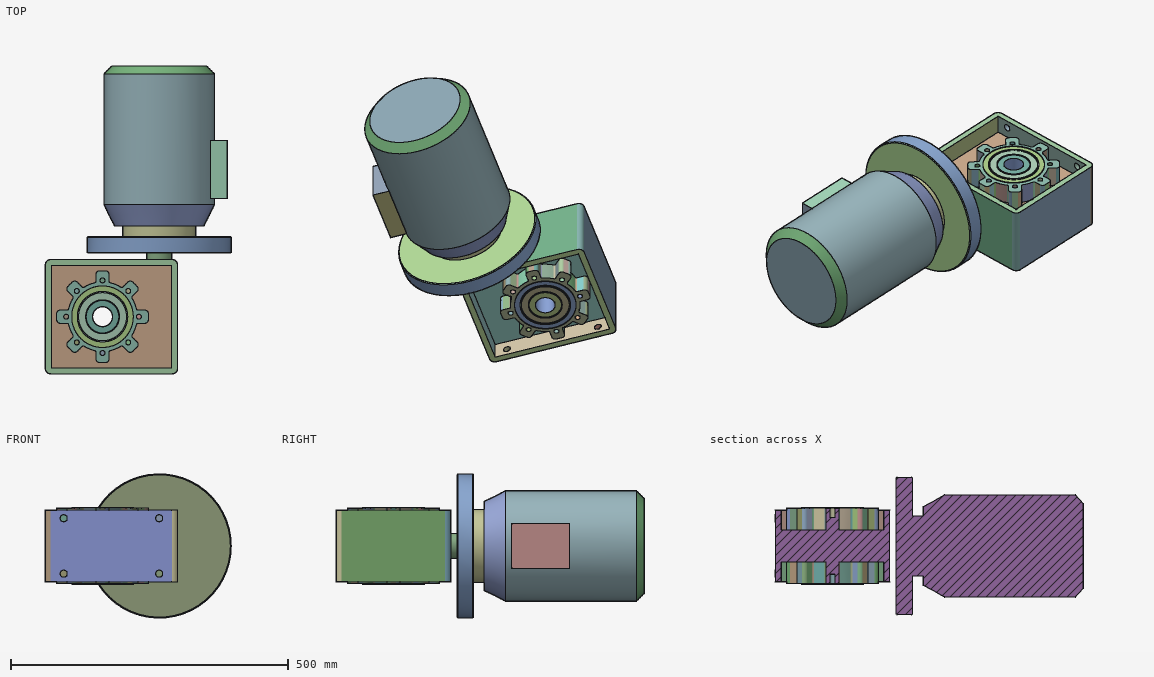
import cadquery as cq
import math

housing_width = 238.5
housing_length = 206.5
housing_height = 129.5
housing_corner_radius = 10.0
wall = 11.0
pocket_depth = 35.5

mount_hole_diameter = 13.0
mount_hole_spacing_x = 172.0
mount_hole_spacing_z = 100.0
mount_hole_depth = wall

hub_x = 103.0
hub_y = housing_length / 2
hub_height = 136.0
hub_radius = 62.5
arm_count = 8
arm_reach = 82.5
arm_width = 24.0
arm_tip_radius = 6.5
arm_root_radius = 3.0
bolt_circle_radius = 65.5
bolt_hole_diameter = 9.0
bolt_hole_depth = 16.5

ring_radius = 55.5
ring_height = 139.0
seal_groove_radius = 45.5
seal_groove_width = 2.0
shaft_groove_radius = 30.5
shaft_groove_width = 1.0
groove_depth = 1.5
bore_radius = 18.0

flange_radius = 130.0
overall_width = 335.0
motor_x = overall_width - flange_radius
motor_end_y = 555.0
motor_radius = 100.0
motor_chamfer = 14.5
cone_start_y = 266.5
cone_start_radius = 80.5
cone_end_y = 305.0
neck_radius = 66.0
flange_start_y = 217.5
flange_thickness = 30.0
flange_chamfer = 1.5
input_shaft_radius = 23.0

terminal_start_x = 297.5
terminal_end_x = 328.0
terminal_start_y = 316.0
terminal_end_y = 420.5
terminal_height = 81.0


def centred_plate(height):
    """Workplane on the hub axis from which a symmetric body of this height is extruded."""
    return cq.Workplane("XY", origin=(hub_x, hub_y, -height / 2))


def make_housing():
    center = (housing_width / 2, housing_length / 2, 0)
    housing = (
        cq.Workplane("XY", origin=center)
        .box(housing_width, housing_length, housing_height)
        .edges("|Z")
        .fillet(housing_corner_radius)
    )
    pocket_offset = (housing_height - pocket_depth) / 2
    for side in (-1, 1):
        pocket = cq.Workplane("XY", origin=center).box(
            housing_width - 2 * wall, housing_length - 2 * wall, pocket_depth
        )
        housing = housing.cut(pocket.translate((0, 0, side * pocket_offset)))
    mount_holes = (
        cq.Workplane("XZ", origin=(housing_width / 2, 0, 0))
        .rarray(mount_hole_spacing_x, mount_hole_spacing_z, 2, 2)
        .circle(mount_hole_diameter / 2)
        .extrude(-mount_hole_depth)
    )
    return housing.cut(mount_holes)


def make_hub():
    star = centred_plate(hub_height).circle(hub_radius).extrude(hub_height)
    for index in range(arm_count):
        arm = (
            cq.Workplane("XY", origin=(arm_reach / 2, 0, 0))
            .box(arm_reach, arm_width, hub_height)
            .edges("|Z and >X")
            .fillet(arm_tip_radius)
            .rotate((0, 0, 0), (0, 0, 1), index * 360 / arm_count)
            .translate((hub_x, hub_y, 0))
        )
        star = star.union(arm)
    root_x = math.sqrt(hub_radius**2 - (arm_width / 2) ** 2)
    root_angle = math.degrees(math.atan2(arm_width / 2, root_x))
    for index in range(arm_count):
        for side in (-1, 1):
            angle = math.radians(index * 360 / arm_count + side * root_angle)
            root = (hub_x + hub_radius * math.cos(angle), hub_y + hub_radius * math.sin(angle), 0)
            star = star.edges(cq.selectors.NearestToPointSelector(root)).fillet(arm_root_radius)
    ring = centred_plate(ring_height).circle(ring_radius).extrude(ring_height)
    return star.union(ring)


def make_groove(outer_radius, width):
    """Ring-shaped cutter for a groove in the upper end of the centring ring."""
    return (
        cq.Workplane("XY", origin=(hub_x, hub_y, ring_height / 2 - groove_depth))
        .circle(outer_radius)
        .circle(outer_radius - width)
        .extrude(groove_depth)
    )


def cut_hub_faces(body):
    """Cut the grooves and the bolt holes into both faces of the hub."""
    seal_groove = make_groove(seal_groove_radius, seal_groove_width)
    shaft_groove = make_groove(shaft_groove_radius, shaft_groove_width)
    bolt_holes = (
        cq.Workplane("XY", origin=(hub_x, hub_y, hub_height / 2 - bolt_hole_depth))
        .polarArray(bolt_circle_radius, 0, 360, arm_count)
        .circle(bolt_hole_diameter / 2)
        .extrude(bolt_hole_depth)
    )
    for cutter in (seal_groove, shaft_groove, bolt_holes):
        body = body.cut(cutter).cut(cutter.mirror("XY"))
    return body


def make_motor():
    flange_end_y = flange_start_y + flange_thickness
    flange_face_radius = flange_radius - flange_chamfer
    shaft_start_y = housing_length - wall
    profile = [
        (0, shaft_start_y),
        (input_shaft_radius, shaft_start_y),
        (input_shaft_radius, flange_start_y),
        (flange_face_radius, flange_start_y),
        (flange_radius, flange_start_y + flange_chamfer),
        (flange_radius, flange_end_y - flange_chamfer),
        (flange_face_radius, flange_end_y),
        (neck_radius, flange_end_y),
        (neck_radius, cone_start_y),
        (cone_start_radius, cone_start_y),
        (motor_radius, cone_end_y),
        (motor_radius, motor_end_y - motor_chamfer),
        (motor_radius - motor_chamfer, motor_end_y),
        (0, motor_end_y),
    ]
    turned = cq.Workplane("XY").polyline(profile).close().revolve(360, (0, 0, 0), (0, 1, 0))
    return turned.translate((motor_x, 0, 0))


def make_terminal_box():
    middle = ((terminal_start_x + terminal_end_x) / 2, (terminal_start_y + terminal_end_y) / 2, 0)
    return cq.Workplane("XY", origin=middle).box(
        terminal_end_x - terminal_start_x,
        terminal_end_y - terminal_start_y,
        terminal_height,
    )


gearbox = cut_hub_faces(make_housing().union(make_hub()))
bore = centred_plate(ring_height).circle(bore_radius).extrude(ring_height)
result = gearbox.cut(bore).union(make_motor()).union(make_terminal_box())